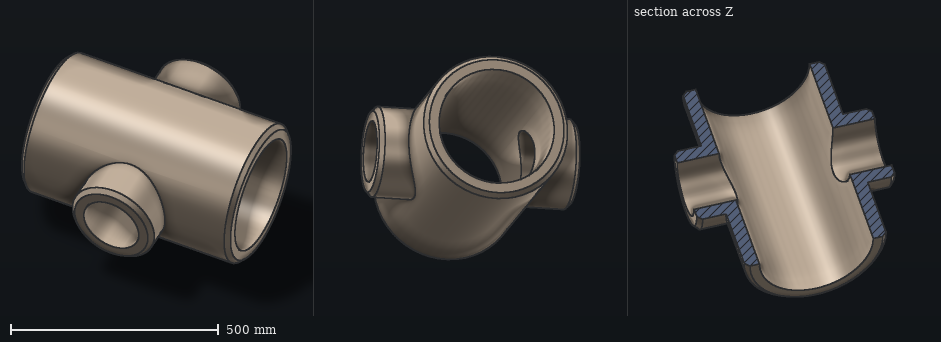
import cadquery as cq

run_length = 558.8
run_outer_diameter = 355.6
run_wall = 35.7

branch_span = 495.3
branch_outer_diameter = 219.1
branch_wall = 36.0

end_bevel = 11.5

run_bore_diameter = run_outer_diameter - 2 * run_wall
branch_bore_diameter = branch_outer_diameter - 2 * branch_wall

RUN_PLANE = "YZ"
BRANCH_PLANE = "XZ"


def centered_bar(plane, length, diameter):
    """Round bar normal to the plane, centred on the origin."""
    return cq.Workplane(plane).circle(diameter / 2).extrude(length / 2, both=True)


def beveled_bar(plane, length, diameter):
    """Centred round bar with the edges of both ends beveled."""
    return centered_bar(plane, length, diameter).faces("%PLANE").edges().chamfer(end_bevel)


run_body = beveled_bar(RUN_PLANE, run_length, run_outer_diameter)
branch_body = beveled_bar(BRANCH_PLANE, branch_span, branch_outer_diameter)
body = run_body.union(branch_body)

run_bore = centered_bar(RUN_PLANE, run_length, run_bore_diameter)
branch_bore = centered_bar(BRANCH_PLANE, branch_span, branch_bore_diameter)

result = body.cut(run_bore).cut(branch_bore)